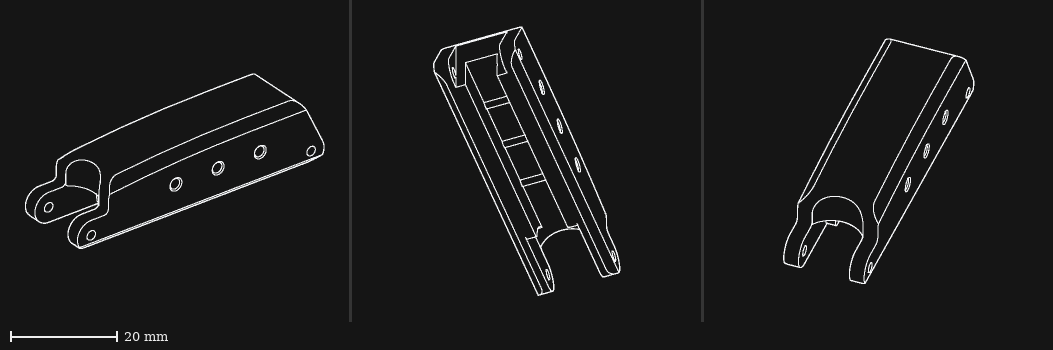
import cadquery as cq
import math

WIDTH = 16.2
LENGTH = 58.45
HEIGHT = 14.6

LUG_RADIUS = 3.3
REAR_RADIUS = 3.1
REAR_LEAN = math.radians(25.4)
FRONT_FACE_Y = 7.3
CROWN_START_Y = 41.3
CROWN_RADIUS = 292.2
FRONT_TOP_FILLET = 4.0
REAR_TOP_FILLET = 3.0
LUG_ROOT_FILLET = 1.0
TOP_CHAMFER = 2.0
BOTTOM_CHAMFER = 1.6

SLOT_WIDTH = 10.2
CHANNEL_WIDTH = 6.35
CEILING_Z = 6.55
REAR_SLOT_DEPTH = 4.05
FRONT_SLOT_EDGE_Y = 7.35
FRONT_SLOT_APEX_Y = 10.0
RELIEF_END_Y = 14.65
RELIEF_RADIUS = 7.0
RELIEF_LIP_FILLET = 1.0

PIVOT_DIAMETER = 2.0
SIDE_HOLE_DIAMETER = 2.2
SIDE_HOLE_CHAMFER = 0.3
SIDE_HOLE_PITCH = 10.0
SIDE_HOLE_MIDDLE_Y = 33.3
SIDE_HOLE_Z = 7.3

REAR_PIVOT_Y = LENGTH - REAR_RADIUS
MARGIN = 2.9


def extrude_across(outline, width):
    """Extrude a closed YZ outline to the given width, centred on X."""
    return outline.close().extrude(width / 2, both=True)


def crown_point(y):
    """Point of the crown arc at y; the arc is tangent to the flat top."""
    reach = CROWN_START_Y - y
    return (y, HEIGHT - CROWN_RADIUS + math.sqrt(CROWN_RADIUS**2 - reach**2))


def chamfered_bar():
    """Full-length bar with the crowned top and all long edges chamfered."""
    bar = extrude_across(
        cq.Workplane("YZ")
        .moveTo(0, 0)
        .lineTo(LENGTH, 0)
        .lineTo(LENGTH, HEIGHT)
        .lineTo(CROWN_START_Y, HEIGHT)
        .threePointArc(crown_point(CROWN_START_Y / 2), crown_point(0)),
        WIDTH,
    )
    bar = bar.faces("<Z").edges("|Y").chamfer(BOTTOM_CHAMFER)
    side = cq.selectors.BoxSelector((-WIDTH, 0.6, HEIGHT / 2), (WIDTH, LENGTH - 0.6, HEIGHT + 0.6))
    return bar.edges(side).edges("not |X").chamfer(TOP_CHAMFER)


def side_profile():
    """Side outline with rounded lugs, sloped rear and filleted top corners."""
    slope_y = REAR_PIVOT_Y + REAR_RADIUS * math.cos(REAR_LEAN)
    slope_z = REAR_RADIUS * (1 + math.sin(REAR_LEAN))
    slope_top_y = slope_y - (HEIGHT - slope_z) * math.tan(REAR_LEAN)
    profile = extrude_across(
        cq.Workplane("YZ")
        .moveTo(LUG_RADIUS, 0)
        .lineTo(REAR_PIVOT_Y, 0)
        .threePointArc((LENGTH, REAR_RADIUS), (slope_y, slope_z))
        .lineTo(slope_top_y, HEIGHT)
        .lineTo(CROWN_START_Y, HEIGHT)
        .threePointArc(crown_point((CROWN_START_Y + FRONT_FACE_Y) / 2), crown_point(FRONT_FACE_Y))
        .lineTo(FRONT_FACE_Y, 2 * LUG_RADIUS)
        .lineTo(LUG_RADIUS, 2 * LUG_RADIUS)
        .threePointArc((0, LUG_RADIUS), (LUG_RADIUS, 0)),
        WIDTH,
    )

    def round_corner(body, y, z, radius):
        corner = cq.selectors.NearestToPointSelector((0, y, z))
        return body.edges("|X").edges(corner).fillet(radius)

    profile = round_corner(profile, slope_top_y, HEIGHT, REAR_TOP_FILLET)
    profile = round_corner(profile, *crown_point(FRONT_FACE_Y), FRONT_TOP_FILLET)
    return round_corner(profile, FRONT_FACE_Y, 2 * LUG_RADIUS, LUG_ROOT_FILLET)


def front_slot():
    """Slot between the front lugs, ending in a bowed upright wall."""
    half = SLOT_WIDTH / 2
    return (
        cq.Workplane("XY", origin=(0, 0, -MARGIN))
        .moveTo(-half, -MARGIN)
        .lineTo(half, -MARGIN)
        .lineTo(half, FRONT_SLOT_EDGE_Y)
        .threePointArc((0, FRONT_SLOT_APEX_Y), (-half, FRONT_SLOT_EDGE_Y))
        .close()
        .extrude(HEIGHT + 2 * MARGIN)
    )


def front_relief():
    """Recess under the front slot ceiling with a concave end wall and a rounded lower lip."""
    arc_y = RELIEF_END_Y - RELIEF_RADIUS
    arc_z = RELIEF_LIP_FILLET
    top_angle = math.asin((CEILING_Z - arc_z) / RELIEF_RADIUS)

    def arc_point(angle):
        return (arc_y + RELIEF_RADIUS * math.cos(angle), arc_z + RELIEF_RADIUS * math.sin(angle))

    lip_offset = RELIEF_LIP_FILLET * (1 - math.sqrt(0.5))
    return extrude_across(
        cq.Workplane("YZ")
        .moveTo(-MARGIN, 0)
        .lineTo(RELIEF_END_Y + RELIEF_LIP_FILLET, 0)
        .threePointArc((RELIEF_END_Y + lip_offset, lip_offset), (RELIEF_END_Y, arc_z))
        .threePointArc(arc_point(top_angle / 2), arc_point(top_angle))
        .lineTo(-MARGIN, CEILING_Z),
        SLOT_WIDTH,
    )


def rear_slot():
    """Square slot between the rear lugs, open above and below."""
    return (
        cq.Workplane("XY", origin=(0, LENGTH - REAR_SLOT_DEPTH, -MARGIN))
        .box(SLOT_WIDTH, REAR_SLOT_DEPTH + MARGIN, HEIGHT + 2 * MARGIN, centered=(True, False, False))
    )


def channel():
    """Narrow channel along the underside, joining the two slots."""
    return (
        cq.Workplane("XY", origin=(0, 0, -MARGIN))
        .box(CHANNEL_WIDTH, LENGTH, CEILING_Z + MARGIN, centered=(True, False, False))
    )


def cross_hole(y, z, diameter):
    """Hole through the full width along X."""
    return cq.Workplane("YZ").center(y, z).circle(diameter / 2).extrude(WIDTH, both=True)


def side_hole(y):
    """Cross hole with a small chamfer at both outer sides."""
    radius = SIDE_HOLE_DIAMETER / 2
    hole = cross_hole(y, SIDE_HOLE_Z, SIDE_HOLE_DIAMETER)
    for side in (-1, 1):
        mouth = cq.Solid.makeCone(
            radius + SIDE_HOLE_CHAMFER,
            radius,
            SIDE_HOLE_CHAMFER,
            pnt=cq.Vector(side * WIDTH / 2, y, SIDE_HOLE_Z),
            dir=cq.Vector(-side, 0, 0),
        )
        hole = hole.union(cq.Workplane(mouth))
    return hole


result = chamfered_bar().intersect(side_profile())
for opening in (front_slot(), front_relief(), rear_slot(), channel()):
    result = result.cut(opening)

result = result.cut(cross_hole(LUG_RADIUS, LUG_RADIUS, PIVOT_DIAMETER))
result = result.cut(cross_hole(REAR_PIVOT_Y, LUG_RADIUS, PIVOT_DIAMETER))
for step in (-1, 0, 1):
    result = result.cut(side_hole(SIDE_HOLE_MIDDLE_Y + step * SIDE_HOLE_PITCH))